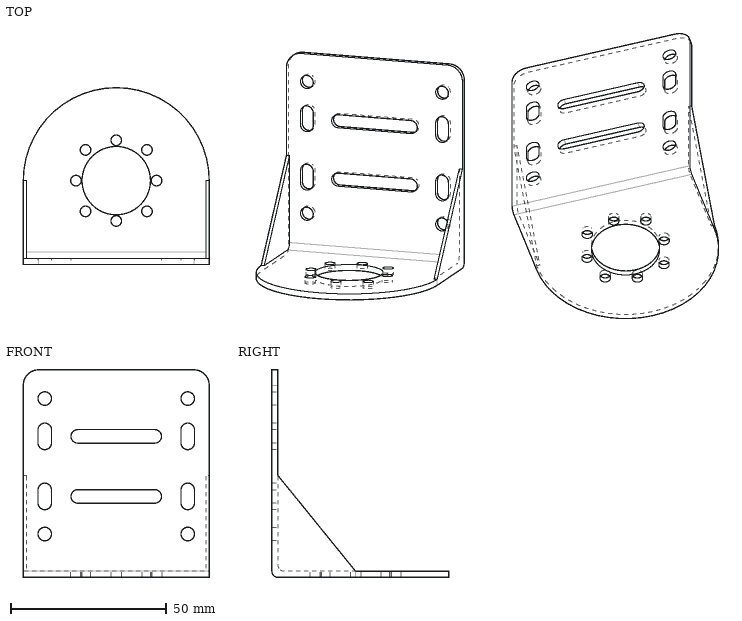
import cadquery as cq

width = 60.0
height = 66.9
depth = 57.0
thickness = 2.0
gusset_thickness = 1.1
gusset_height = 32.85
bend_radius = 2.0
corner_radius = 5.0

bore_diameter = 21.95
screw_diameter = 3.35
straight_circle_radius = 13.0
diagonal_circle_radius = 14.0

slot_width = 4.3
side_column_x = 23.0
lower_hole_z = 14.0
upper_hole_z = 57.6
lower_slot_z = 26.1
upper_slot_z = 45.45
long_slot_length = 29.1
short_slot_length = 8.5

nose_radius = width / 2
front_y = nose_radius - depth
wall_back_y = front_y + thickness


def make_base():
    """Horizontal plate with a semicircular nose."""
    return (
        cq.Workplane("XY")
        .moveTo(-nose_radius, front_y)
        .lineTo(nose_radius, front_y)
        .lineTo(nose_radius, 0)
        .threePointArc((0, nose_radius), (-nose_radius, 0))
        .close()
        .extrude(thickness)
    )


def make_wall():
    """Upright plate with rounded top corners."""
    wall = cq.Workplane("XY").box(width, thickness, height, centered=(True, False, False))
    return wall.edges("|Y and >Z").fillet(corner_radius).translate((0, front_y, 0))


def make_gusset(start_x):
    """Side web joining the base to the wall, from start_x towards +X."""
    outline = [
        (front_y, 0),
        (0, 0),
        (0, thickness),
        (wall_back_y, gusset_height),
        (front_y, gusset_height),
    ]
    return (
        cq.Workplane("YZ", origin=(start_x, 0, 0))
        .polyline(outline)
        .close()
        .extrude(gusset_thickness)
    )


def make_inner_bend():
    """Concave fillet between the base and the wall."""
    return (
        cq.Workplane("YZ", origin=(-width / 2, 0, 0))
        .moveTo(wall_back_y, thickness)
        .lineTo(wall_back_y + bend_radius, thickness)
        .radiusArc((wall_back_y, thickness + bend_radius), bend_radius)
        .close()
        .extrude(width)
    )


def base_holes():
    """Central bore ringed by four straight and four diagonal screw holes."""
    drill = cq.Workplane("XY")
    bore = drill.circle(bore_diameter / 2).extrude(thickness)
    straight = drill.polarArray(straight_circle_radius, 0, 360, 4)
    diagonal = drill.polarArray(diagonal_circle_radius, 45, 360, 4)
    for pattern in (straight, diagonal):
        bore = bore.union(pattern.circle(screw_diameter / 2).extrude(thickness))
    return bore


def wall_holes():
    """Round holes and slots through the wall."""
    face = cq.Workplane("XZ", origin=(0, wall_back_y, 0))
    columns = (-side_column_x, side_column_x)
    hole_points = [(x, z) for x in columns for z in (lower_hole_z, upper_hole_z)]
    short_points = [(x, z) for x in columns for z in (lower_slot_z, upper_slot_z)]
    long_points = [(0, lower_slot_z), (0, upper_slot_z)]
    holes = face.pushPoints(hole_points).circle(slot_width / 2).extrude(thickness)
    short_slots = face.pushPoints(short_points).slot2D(short_slot_length, slot_width, 90).extrude(thickness)
    long_slots = face.pushPoints(long_points).slot2D(long_slot_length, slot_width).extrude(thickness)
    return holes.union(short_slots).union(long_slots)


body = make_base().union(make_wall()).union(make_inner_bend())
for gusset_x in (-width / 2, width / 2 - gusset_thickness):
    body = body.union(make_gusset(gusset_x))

body = body.clean().edges("|X and <Y and <Z").fillet(bend_radius)

result = body.cut(base_holes()).cut(wall_holes())